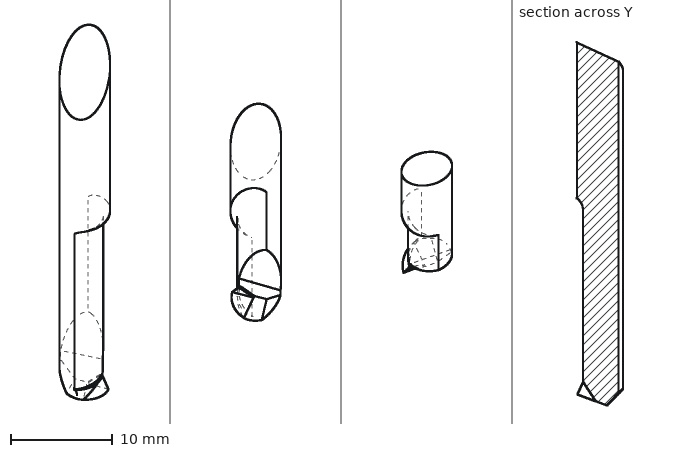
import cadquery as cq
import math


length = 51.58
diameter = 5.0
radius = diameter / 2
top_bevel_angle = 60.0

neck_shift = 0.7
neck_run_out_radius = 1.0
neck_top = 26.36

land_y = 0.18
tip_rake_y = 0.0
back_bevel_angle = 30.0
back_bevel_bottom = 4.15
heel_angle = 30.0
heel_top = 2.8

tip_x = 2.42
tip_top = 1.88
flank_angle = math.degrees(math.atan((tip_x - (radius - neck_shift)) / tip_top))
flank_radius = 2.56
end_slope = 5.5
end_clearance = 8.0
joint_top_x = 1.6
joint_bottom_x = 0.3
joint_bottom_z = 0.3

relief_azimuth = -39.0
relief_radius = 3.3
relief_top = 4.3
relief_depth = 0.25

margin = 2 * diameter


def tangent(angle):
    return math.tan(math.radians(angle))


def make_blank():
    """Round bar with a sloping upper end."""
    bar = cq.Workplane("XY").circle(radius).extrude(length)
    rise = tangent(top_bevel_angle)
    waste = (
        cq.Workplane("YZ")
        .moveTo(radius, length)
        .lineTo(-2 * radius, length - 3 * radius * rise)
        .lineTo(-2 * radius, length)
        .close()
        .extrude(margin, both=True)
    )
    return bar.cut(waste)


def make_neck_waste():
    """Ring around the shifted neck axis, with a concave run-out under the shoulder."""
    run_out = neck_run_out_radius
    middle = run_out * (1 - math.sqrt(0.5))
    return (
        cq.Workplane("XZ")
        .moveTo(radius, tip_top)
        .lineTo(radius, neck_top - run_out)
        .threePointArc(
            (radius + middle, neck_top - middle),
            (radius + run_out, neck_top),
        )
        .lineTo(margin, neck_top)
        .lineTo(margin, tip_top)
        .close()
        .revolve(360, (0, 0, 0), (0, 1, 0))
        .translate((-neck_shift, 0, 0))
    )


def make_relief_waste():
    """Stock outside a leaning cylinder that cuts deeper into the neck towards the tip."""
    lean = math.degrees(math.atan(relief_depth / (relief_top - tip_top)))
    core = (
        cq.Workplane("XY")
        .circle(relief_radius)
        .extrude(margin, both=True)
        .translate((-relief_radius, 0, 0))
        .rotate((0, 0, 0), (0, 1, 0), lean)
        .translate((radius, 0, relief_top))
    )
    stock = cq.Workplane("XY").workplane(offset=tip_top).rect(margin, margin)
    stock = stock.extrude(relief_top - tip_top)
    return (
        stock.cut(core)
        .rotate((0, 0, 0), (0, 0, 1), relief_azimuth)
        .translate((-neck_shift, 0, 0))
    )


def make_flank_waste():
    """Stock outside the leaning cylinder that forms the flank of the tip."""
    half_width = flank_radius / math.cos(math.radians(flank_angle))
    core = (
        cq.Workplane("XY")
        .circle(flank_radius)
        .extrude(margin, both=True)
        .rotate((0, 0, 0), (0, 1, 0), -flank_angle)
        .translate((tip_x - half_width, 0, 0))
    )
    stock = (
        cq.Workplane("XY")
        .center(margin / 2 - neck_shift, 0)
        .rect(margin, margin)
        .extrude(tip_top)
    )
    return stock.cut(core)


def make_back_waste():
    """Stock behind the land, with the sloping bevel above it."""
    reach = 2 * radius
    return (
        cq.Workplane("YZ")
        .moveTo(land_y, -margin)
        .lineTo(land_y, back_bevel_bottom)
        .lineTo(land_y + reach, back_bevel_bottom + reach / tangent(back_bevel_angle))
        .lineTo(land_y + reach, -margin)
        .close()
        .extrude(margin, both=True)
    )


def make_heel_waste():
    """Sloping cut under the -X side of the end."""
    return (
        cq.Workplane("XZ")
        .moveTo(-radius, heel_top)
        .lineTo(-radius + margin * tangent(heel_angle), heel_top - margin)
        .lineTo(-radius, heel_top - margin)
        .close()
        .extrude(margin, both=True)
    )


def make_end_waste():
    """Stock below the end face, which falls to its lowest point at the tip corner."""
    return (
        cq.Workplane("XY")
        .rect(2 * margin, 2 * margin)
        .extrude(-margin)
        .rotate((0, 0, 0), (0, 1, 0), end_slope)
        .rotate((0, 0, 0), (1, 0, 0), -end_clearance)
        .translate((tip_x, tip_rake_y, 0))
    )


def make_tip_zone():
    """Space on the tip side of the sloping joint."""
    slope = (joint_top_x - joint_bottom_x) / (tip_top - joint_bottom_z)
    return (
        cq.Workplane("XZ")
        .moveTo(joint_top_x, tip_top)
        .lineTo(joint_bottom_x - slope * (joint_bottom_z + margin), -margin)
        .lineTo(margin, -margin)
        .lineTo(margin, tip_top)
        .close()
        .extrude(margin, both=True)
    )


bar = make_blank()
for waste in (
    make_neck_waste(),
    make_relief_waste(),
    make_flank_waste(),
    make_back_waste(),
    make_heel_waste(),
    make_end_waste(),
):
    bar = bar.cut(waste)

tip_zone = make_tip_zone()
rake_waste = cq.Workplane("XY").box(2 * margin, margin, 2 * margin)
rake_waste = rake_waste.translate((0, tip_rake_y + margin / 2, 0))

shank = bar.cut(tip_zone)
tip = bar.intersect(tip_zone).cut(rake_waste)

result = cq.Compound.makeCompound([shank.val(), tip.val()])